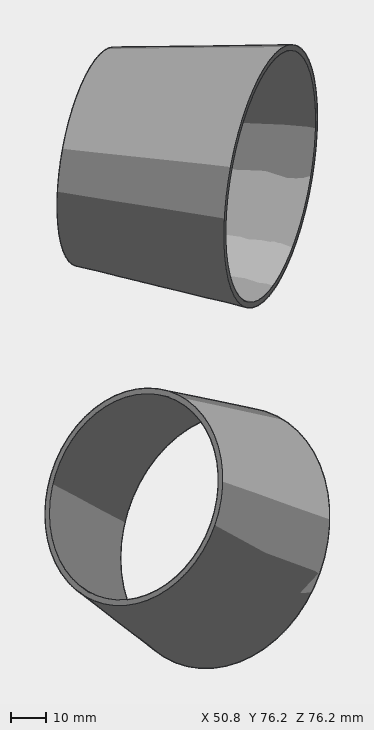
import cadquery as cq

large_diameter = 76.15
small_diameter = 63.4
length = 50.8
wall = 1.7

small_end_offset = -(large_diameter - small_diameter) / 2


def tapered_body(inset):
    """Solid taper along +X from the small end, each end reduced in radius by the inset."""
    return (
        cq.Workplane("YZ")
        .center(small_end_offset, 0)
        .circle(small_diameter / 2 - inset)
        .workplane(offset=length)
        .center(-small_end_offset, 0)
        .circle(large_diameter / 2 - inset)
        .loft(ruled=True)
    )


result = tapered_body(0).cut(tapered_body(wall))